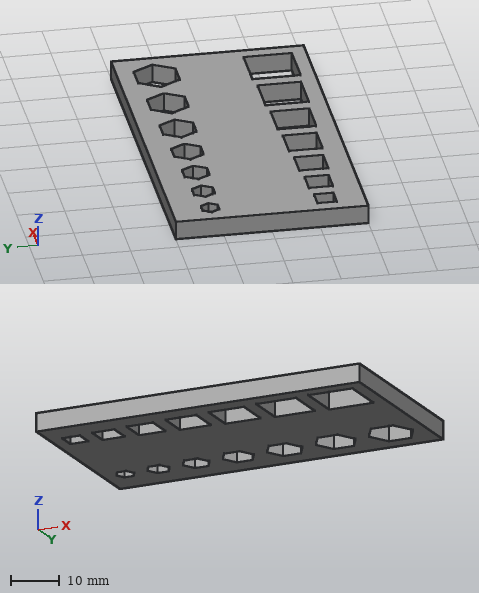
import cadquery as cq


plate_length = 73.0
plate_width = 40.0
plate_thickness = 4.0

hole_count = 7
smallest_hole = 4.0
largest_hole = 10.0
row_offset = 12.0
hexagon_sides = 6

hole_step = (largest_hole - smallest_hole) / (hole_count - 1)
hole_sizes = [smallest_hole + i * hole_step for i in range(hole_count)]

web = (plate_length - sum(hole_sizes)) / (hole_count + 1)


def make_plate():
    """Plain plate centred on the origin."""
    return cq.Workplane("XY").box(plate_length, plate_width, plate_thickness)


def cut_hexagon(plate, size, x):
    """Cut a through hexagon with two corners pointing along X."""
    profile = plate.faces(">Z").workplane().pushPoints([(x, row_offset)])
    return profile.polygon(hexagon_sides, size).cutThruAll()


def cut_square(plate, size, x):
    """Cut a through square with sides along X and Y."""
    profile = plate.faces(">Z").workplane().pushPoints([(x, -row_offset)])
    return profile.rect(size, size).cutThruAll()


result = make_plate()
hole_start = -plate_length / 2 + web
for hole_size in hole_sizes:
    hole_center = hole_start + hole_size / 2
    result = cut_hexagon(result, hole_size, hole_center)
    result = cut_square(result, hole_size, hole_center)
    hole_start += hole_size + web